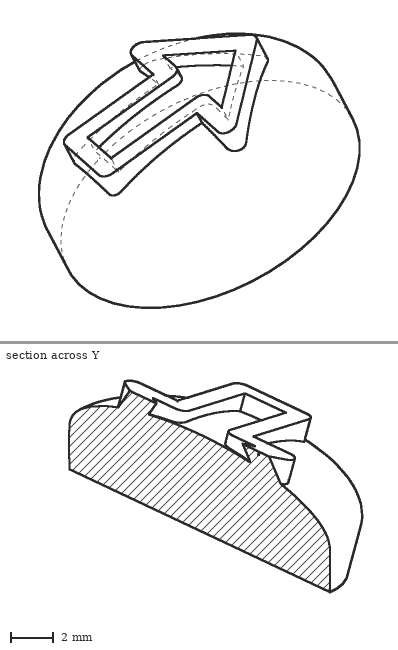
import cadquery as cq
import math

radius = 7.5
skirt_height = 2.5
dome_rise = 3.0
flat_radius = 0.5
arrow_top = 6.0
wall = 1.0
corner_radius = 0.5
tilt = 25.0

arrow_tip = 5.58
head_bottom = 0.75
head_half_width = 5.62
shaft_half_width = 2.18
shaft_bottom = -4.65


def dome_height(r):
    """Height of the dome surface above the base at distance r from the axis."""
    return skirt_height + dome_rise * math.sqrt(1 - (r / radius) ** 2)


def make_button():
    """Skirt and dome, revolved about Z."""
    crown = dome_height(flat_radius)
    start_angle = math.degrees(math.asin((crown - skirt_height) / dome_rise))
    profile = (
        cq.Workplane("XZ")
        .moveTo(0, 0)
        .lineTo(radius, 0)
        .lineTo(radius, skirt_height)
        .ellipseArc(radius, dome_rise, 0, start_angle, startAtCurrent=True)
        .lineTo(0, crown)
        .close()
    )
    return profile.revolve(360, (0, 0, 0), (0, 1, 0))


def arrow_prism(tip, wing, head, shaft, bottom):
    """Sharp-cornered arrow pointing along +Y, from the skirt's top up to the arrow face."""
    right_side = [(wing, head), (shaft, head), (shaft, bottom)]
    left_side = [(-x, y) for x, y in reversed(right_side)]
    return (
        cq.Workplane("XY", origin=(0, 0, skirt_height))
        .polyline([(0, tip)] + right_side + left_side)
        .close()
        .extrude(arrow_top - skirt_height)
    )


def round_at(prism, corners):
    """Round the upright edges standing at the given (x, y) corners."""
    middle = (skirt_height + arrow_top) / 2
    for x, y in corners:
        prism = prism.edges(cq.selectors.NearestToPointSelector((x, y, middle))).fillet(corner_radius)
    return prism


def make_arrow():
    """Arrow frame of constant wall width, with its convex corners rounded."""
    slope = (arrow_tip - head_bottom) / head_half_width
    inner_tip = arrow_tip - wall * math.hypot(1, slope)
    inner_head = head_bottom + wall
    inner_wing = (inner_tip - inner_head) / slope
    inner_shaft = shaft_half_width - wall

    outer = arrow_prism(arrow_tip, head_half_width, head_bottom, shaft_half_width, shaft_bottom)
    outer = round_at(outer, [
        (0, arrow_tip),
        (head_half_width, head_bottom),
        (-head_half_width, head_bottom),
        (shaft_half_width, shaft_bottom),
        (-shaft_half_width, shaft_bottom),
    ])
    inner = arrow_prism(inner_tip, inner_wing, inner_head, inner_shaft, shaft_bottom + wall)
    inner = round_at(inner, [(inner_shaft, inner_head), (-inner_shaft, inner_head)])
    return outer.cut(inner)


button = make_button().union(make_arrow())
result = button.rotate((0, 0, 0), (1, 0, 0), tilt)